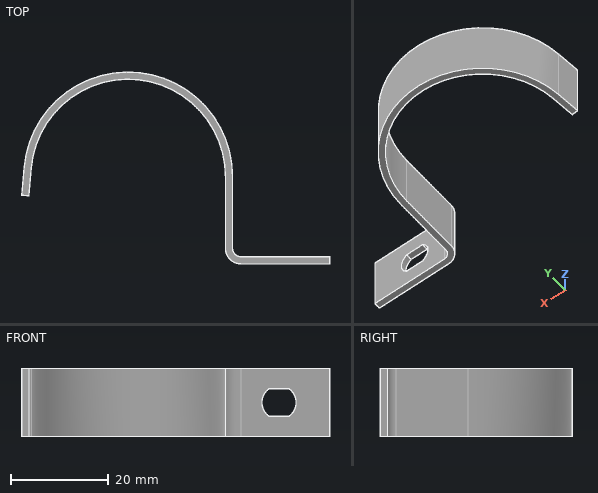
import cadquery as cq
import math

overall_length = 63.4
overall_depth = 39.5
strap_width = 14.0
thickness = 1.5
hoop_radius = 21.5
lip_angle = math.radians(5)
lip_length = 5.8
bend_radius = 3.25

slot_length = 7.0
slot_height = 5.6
slot_end_radius = 3.5
slot_from_end = 10.45

hoop_inner_radius = hoop_radius - thickness
bend_inner_radius = bend_radius - thickness
lip_end_x = -hoop_radius * math.cos(lip_angle) - lip_length * math.sin(lip_angle)
flange_end_x = lip_end_x + overall_length
flange_front_y = hoop_radius - overall_depth
flange_back_y = flange_front_y + thickness
bend_center_x = hoop_inner_radius + bend_radius
bend_center_y = flange_front_y + bend_radius


def hoop_point(radius):
    """Point where the hoop meets the tilted lip."""
    return (-radius * math.cos(lip_angle), radius * math.sin(lip_angle))


def lip_end(radius):
    """End of the lip face that is tangent to the hoop at this radius."""
    x, y = hoop_point(radius)
    return (x - lip_length * math.sin(lip_angle), y - lip_length * math.cos(lip_angle))


def bend_middle(radius):
    """Middle of the quarter-turn bend."""
    offset = radius * math.sqrt(0.5)
    return (bend_center_x - offset, bend_center_y - offset)


def make_strap():
    """Bent strip: lip, hoop, straight leg, bend and flange."""
    return (
        cq.Workplane("XY")
        .moveTo(*lip_end(hoop_radius))
        .lineTo(*hoop_point(hoop_radius))
        .threePointArc((0, hoop_radius), (hoop_radius, 0))
        .lineTo(hoop_radius, bend_center_y)
        .threePointArc(bend_middle(bend_inner_radius), (bend_center_x, flange_back_y))
        .lineTo(flange_end_x, flange_back_y)
        .lineTo(flange_end_x, flange_front_y)
        .lineTo(bend_center_x, flange_front_y)
        .threePointArc(bend_middle(bend_radius), (hoop_inner_radius, bend_center_y))
        .lineTo(hoop_inner_radius, 0)
        .threePointArc((0, hoop_inner_radius), hoop_point(hoop_inner_radius))
        .lineTo(*lip_end(hoop_inner_radius))
        .close()
        .extrude(strap_width)
    )


def make_slot_cutter():
    """Flat-sided slot whose ends are shallow arcs."""
    half_length = slot_length / 2
    half_height = slot_height / 2
    end_rise = slot_end_radius - math.sqrt(slot_end_radius**2 - half_height**2)
    half_flat = half_length - end_rise
    slot_center = (flange_end_x - slot_from_end, flange_back_y, strap_width / 2)
    return (
        cq.Workplane("XZ", origin=slot_center)
        .moveTo(-half_flat, half_height)
        .lineTo(half_flat, half_height)
        .threePointArc((half_length, 0), (half_flat, -half_height))
        .lineTo(-half_flat, -half_height)
        .threePointArc((-half_length, 0), (-half_flat, half_height))
        .close()
        .extrude(thickness)
    )


result = make_strap().cut(make_slot_cutter())